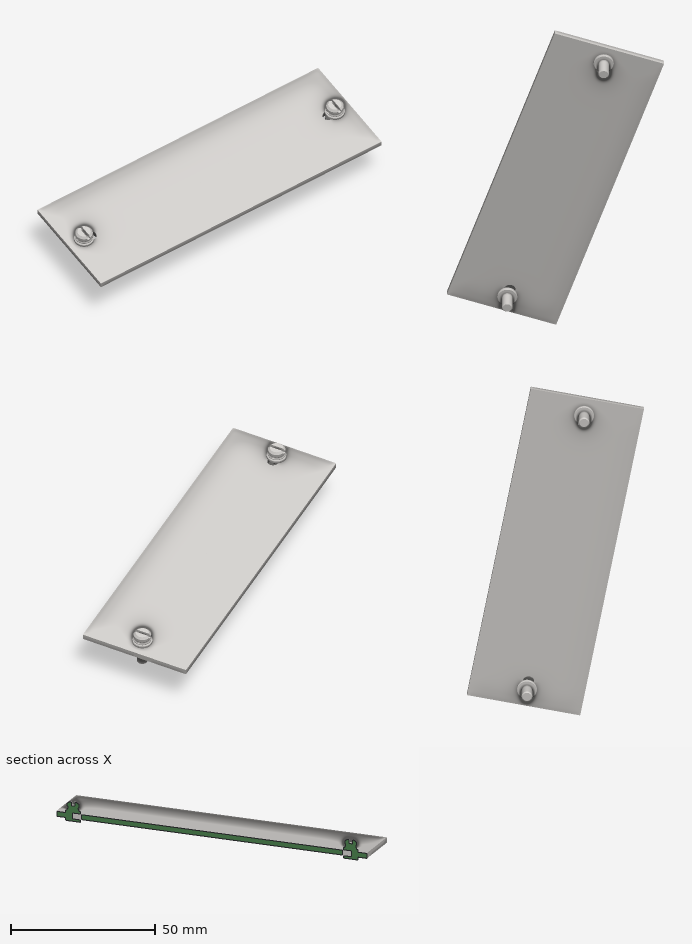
import cadquery as cq

plate_width = 40.0
plate_length = 116.7
plate_thickness = 2.0
plate_top = plate_thickness / 2
plate_bottom = -plate_top

screw_edge_distance = 6.2
screw_y = plate_length / 2 - screw_edge_distance
shank_radius = 1.9
shank_chamfer = 0.4
shank_drop = 7.4

washer_radius = 3.5
washer_thickness = 1.0
washer_chamfer = 0.2

head_rise = 4.2
head_radius = 3.0
head_height = 1.8
head_chamfer = 0.7
groove_height = 1.0
groove_depth = 0.2

driver_slot_width = 1.0
driver_slot_depth = 1.4
window_width = 1.0

plate_slot_radius = 2.0
plate_slot_reach = 4.8

head_top = plate_top + head_rise
head_bottom = head_top - head_height
groove_bottom = head_bottom - groove_height
washer_top = plate_top + washer_thickness
shank_tip = plate_bottom - shank_drop


def make_plate():
    plate = cq.Workplane("XY").box(plate_width, plate_length, plate_thickness)
    slot_travel = plate_slot_reach - plate_slot_radius
    slot_length = slot_travel + 2 * plate_slot_radius
    slot_y = screw_y - slot_travel / 2
    return (
        plate.faces(">Z").workplane()
        .pushPoints([(0, -slot_y), (0, slot_y)])
        .slot2D(slot_length, 2 * plate_slot_radius, angle=90)
        .cutThruAll()
    )


def make_washer(inner_z, direction):
    """Washer growing from inner_z, up (+1) or down (-1), with its outer rim chamfered."""
    washer = cq.Workplane("XY", origin=(0, 0, inner_z)).circle(washer_radius)
    washer = washer.extrude(direction * washer_thickness)
    return washer.faces(">Z" if direction > 0 else "<Z").chamfer(washer_chamfer)


def make_screw():
    """Screw on the Z axis with its head, grooved collar, shank and two washers."""
    groove_middle = (head_bottom + groove_bottom) / 2
    body = (
        cq.Workplane("XZ")
        .moveTo(0, shank_tip)
        .lineTo(shank_radius - shank_chamfer, shank_tip)
        .lineTo(shank_radius, shank_tip + shank_chamfer)
        .lineTo(shank_radius, washer_top)
        .lineTo(head_radius, washer_top)
        .lineTo(head_radius, groove_bottom)
        .threePointArc((head_radius - groove_depth, groove_middle), (head_radius, head_bottom))
        .lineTo(head_radius, head_top - head_chamfer)
        .lineTo(head_radius - head_chamfer, head_top)
        .lineTo(0, head_top)
        .close()
        .revolve(360, (0, 0, 0), (0, 1, 0))
    )
    driver_slot = (
        cq.Workplane("XY", origin=(0, 0, head_top))
        .rect(2 * head_radius, driver_slot_width)
        .extrude(-driver_slot_depth)
    )
    window = (
        cq.Workplane("XY", origin=(0, 0, groove_bottom))
        .rect(window_width, 2 * head_radius)
        .extrude(groove_height)
    )
    screw = body.cut(driver_slot).cut(window)
    upper_washer = make_washer(plate_top, 1)
    lower_washer = make_washer(plate_bottom, -1)
    return screw.union(upper_washer).union(lower_washer)


screw = make_screw()
result = make_plate()
for y in (-screw_y, screw_y):
    result = result.union(screw.translate((0, y, 0)))